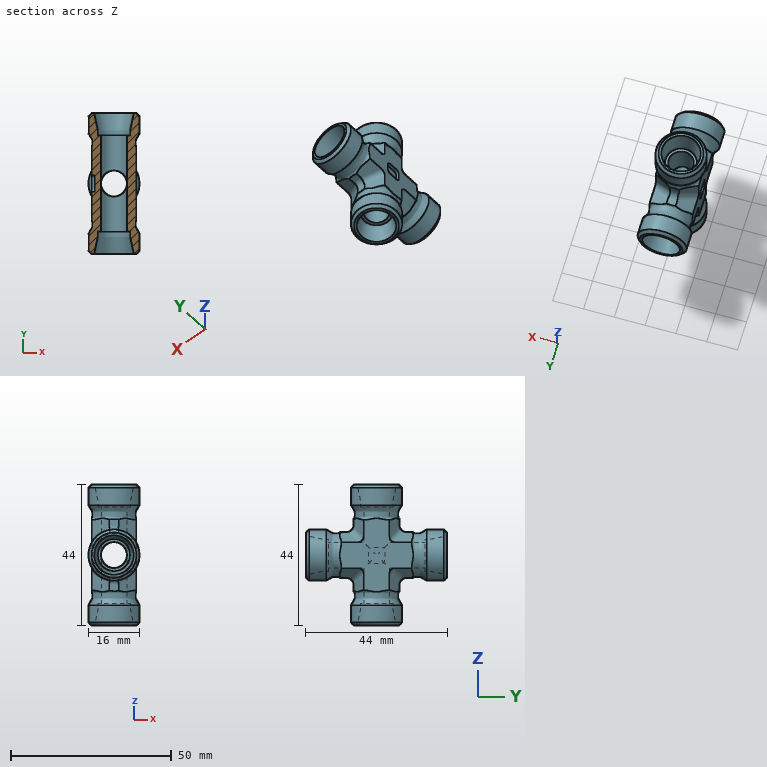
import math

import cadquery as cq

ACROSS_FLATS = 14.0
HEX_HALF_SECTOR = 30
HEX_CORNER_RADIUS = ACROSS_FLATS / 2 / math.cos(math.radians(HEX_HALF_SECTOR))
RIDGE_FLAT_WIDTH = 3.0
ARM_HALF_WIDTH = HEX_CORNER_RADIUS - RIDGE_FLAT_WIDTH / 2 * math.tan(math.radians(HEX_HALF_SECTOR))
SHOULDER = 11.0
CREASE_RADIUS = 2.0

TIP = 22.0
SPIGOT_RADIUS = 8.0
SPIGOT_CHAMFER = 1.0
NECK_RADIUS = 13.7 / 2
NECK_FILLET = 1.0
NECK_START = SHOULDER + NECK_FILLET
NECK_TOP = 13.6
RELIEF_ANGLE = math.radians(30)

BORE_RADIUS = 4.0
SOCKET_RADIUS = 5.0
SOCKET_DEPTH = 7.0
MOUTH_RADIUS = 12.3 / 2
MOUTH_HALF_ANGLE = math.radians(12)

RECESS_SIZE = 5.0
RECESS_CORNER = 1.0
RECESS_DEPTH = 1.0

ARM_ANGLES = (0, 90, 180, 270)
ARM_DIAGONALS = ((1, 1), (1, -1), (-1, -1), (-1, 1))


def turn(shape, angle):
    """Rotate a shape about the X axis."""
    return shape.rotate((0, 0, 0), (1, 0, 0), angle)


def revolve_about_z(profile):
    """Revolve a closed (radius, Z) profile about the Z axis."""
    return profile.revolve(360, (0, 0, 0), (0, 1, 0))


def fillet_inner_corners(cross):
    """Round the edges in the four inner corners between the arms."""
    near = ACROSS_FLATS / 2 - CREASE_RADIUS
    far = HEX_CORNER_RADIUS
    for y_sign, z_sign in ARM_DIAGONALS:
        corner = cq.selectors.BoxSelector(
            (-ACROSS_FLATS, y_sign * near, z_sign * near),
            (ACROSS_FLATS, y_sign * far, z_sign * far),
        )
        cross = cross.edges(corner).fillet(CREASE_RADIUS)
    return cross


def hexagonal_cross():
    """Two crossing hexagonal bars with flats on +X and -X, creases rounded."""
    bar = (
        cq.Workplane("XY")
        .polygon(6, 2 * HEX_CORNER_RADIUS)
        .extrude(NECK_START, both=True)
        .rotate((0, 0, 0), (0, 0, 1), HEX_HALF_SECTOR)
    )
    return fillet_inner_corners(bar.union(turn(bar, 90)))


def ridge_envelope():
    """Cross-shaped prism along X whose long sides are the ridge flats."""
    bar = cq.Workplane("XY").box(ACROSS_FLATS, 2 * ARM_HALF_WIDTH, 2 * NECK_START)
    return fillet_inner_corners(bar.union(turn(bar, 90)))


def shoulder_cutter():
    """Ring that ends the +Z arm in a flat shoulder with a concave fillet to the neck."""
    fillet_mid = NECK_FILLET * (1 - math.sqrt(0.5))
    outside = HEX_CORNER_RADIUS + NECK_FILLET
    profile = (
        cq.Workplane("XZ")
        .moveTo(NECK_RADIUS, NECK_START)
        .threePointArc(
            (NECK_RADIUS + fillet_mid, SHOULDER + fillet_mid),
            (NECK_RADIUS + NECK_FILLET, SHOULDER),
        )
        .lineTo(outside, SHOULDER)
        .lineTo(outside, NECK_START)
        .close()
    )
    return revolve_about_z(profile)


def spigot():
    """Neck, relief cone and chamfered spigot of the +Z arm, starting inside the body."""
    tangent = NECK_FILLET * math.tan(RELIEF_ANGLE / 2)
    neck_end = NECK_TOP - tangent
    cone_end = NECK_TOP + (SPIGOT_RADIUS - NECK_RADIUS) / math.tan(RELIEF_ANGLE)

    def fillet_point(angle):
        """Point on the fillet after it has turned by the angle away from the neck."""
        return (
            NECK_RADIUS + NECK_FILLET * (1 - math.cos(angle)),
            neck_end + NECK_FILLET * math.sin(angle),
        )

    profile = (
        cq.Workplane("XZ")
        .lineTo(NECK_RADIUS, 0)
        .lineTo(NECK_RADIUS, neck_end)
        .threePointArc(fillet_point(RELIEF_ANGLE / 2), fillet_point(RELIEF_ANGLE))
        .lineTo(SPIGOT_RADIUS, cone_end)
        .lineTo(SPIGOT_RADIUS, TIP - SPIGOT_CHAMFER)
        .lineTo(SPIGOT_RADIUS - SPIGOT_CHAMFER, TIP)
        .lineTo(0, TIP)
        .close()
    )
    return revolve_about_z(profile)


def bore():
    """Through bore, stepped tube socket and conical mouth of the +Z arm."""
    cone_depth = (MOUTH_RADIUS - SOCKET_RADIUS) / math.tan(MOUTH_HALF_ANGLE)
    profile = (
        cq.Workplane("XZ")
        .lineTo(BORE_RADIUS, 0)
        .lineTo(BORE_RADIUS, TIP - SOCKET_DEPTH)
        .lineTo(SOCKET_RADIUS, TIP - SOCKET_DEPTH)
        .lineTo(SOCKET_RADIUS, TIP - cone_depth)
        .lineTo(MOUTH_RADIUS, TIP)
        .lineTo(0, TIP)
        .close()
    )
    return revolve_about_z(profile)


def face_recess():
    """Shallow rounded square recess in the middle of the -X face."""
    return (
        cq.Workplane("YZ", origin=(-ACROSS_FLATS / 2, 0, 0))
        .rect(RECESS_SIZE, RECESS_SIZE)
        .extrude(RECESS_DEPTH)
        .edges("|X")
        .fillet(RECESS_CORNER)
    )


def build_part():
    """Four-way union cross in the YZ plane."""
    part = hexagonal_cross().intersect(ridge_envelope())
    for angle in ARM_ANGLES:
        part = part.cut(turn(shoulder_cutter(), angle))
    for angle in ARM_ANGLES:
        part = part.union(turn(spigot(), angle))
    for angle in ARM_ANGLES:
        part = part.cut(turn(bore(), angle))
    return part.cut(face_recess())


result = build_part()